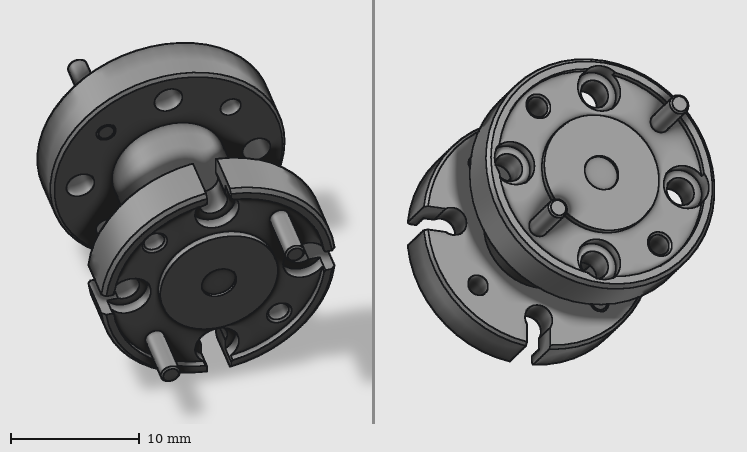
import cadquery as cq
import math

overall_length = 25.53
face_offset = 8.94
flange_thickness = 4.1
back_offset = face_offset - flange_thickness
pin_reach = overall_length / 2 - face_offset

flange_diameter = 19.05
front_chamfer = 0.3
back_chamfer = 0.25
barrel_diameter = 9.17

recess_diameter = 17.2
disc_diameter = 9.55
recess_depth = 0.55
recess_floor = face_offset - recess_depth
bore_diameter = 2.8
bore_depth = 0.25

pitch_radius = 7.15
screw_hole_diameter = 2.27
counterbore_diameter = 3.55
counterbore_depth = 1.55
slot_width = 1.95
pin_diameter = 1.55
pin_chamfer = 0.15
dowel_hole_diameter = 1.65
dowel_hole_chamfer = 0.18

screw_angles = (0, 90, 180, 270)
rising_diagonal = (45, 225)
falling_diagonal = (135, 315)


def x_cylinder(diameter, x_start, x_end):
    """Cylinder on the X axis between two X positions."""
    return cq.Workplane("YZ").workplane(offset=x_start).circle(diameter / 2).extrude(x_end - x_start)


def on_pitch_circle(shape, angle):
    """Move a shape from the X axis to the pitch circle; the angle runs from +Y towards +Z."""
    turn = math.radians(angle)
    return shape.translate((0, pitch_radius * math.cos(turn), pitch_radius * math.sin(turn)))


def flange_blank():
    """Chamfered flange whose mating face is at +X, with ring recess and centre bore."""
    blank = x_cylinder(flange_diameter, back_offset, face_offset)
    blank = blank.faces(">X").chamfer(front_chamfer).faces("<X").chamfer(back_chamfer)
    ring = x_cylinder(recess_diameter, recess_floor, face_offset).cut(
        x_cylinder(disc_diameter, recess_floor, face_offset)
    )
    return blank.cut(ring).cut(x_cylinder(bore_diameter, face_offset - bore_depth, face_offset))


def screw_hole():
    """Through hole counterbored from the mating face."""
    hole = x_cylinder(screw_hole_diameter, back_offset, face_offset)
    return hole.union(x_cylinder(counterbore_diameter, face_offset - counterbore_depth, face_offset))


def dowel_hole():
    """Through hole with a chamfered mouth at the recess floor."""
    hole = x_cylinder(dowel_hole_diameter, back_offset, recess_floor)
    hole_radius = dowel_hole_diameter / 2
    countersink = cq.Solid.makeCone(
        hole_radius + dowel_hole_chamfer,
        hole_radius,
        dowel_hole_chamfer,
        pnt=cq.Vector(recess_floor, 0, 0),
        dir=cq.Vector(-1, 0, 0),
    )
    return hole.union(cq.Workplane(countersink))


def dowel_pin():
    """Pin chamfered at both ends: one flush with the flange back, one beyond the mating face."""
    pin = x_cylinder(pin_diameter, back_offset, face_offset + pin_reach)
    return pin.faces("<X or >X").edges().chamfer(pin_chamfer)


def edge_slot(angle):
    """Slot running from a screw hole out through the flange rim."""
    slot = cq.Workplane("XY").box(
        flange_thickness, flange_diameter / 2 - pitch_radius, slot_width, centered=(False, False, True)
    )
    slot = slot.translate((back_offset, pitch_radius, 0))
    return slot.rotate((0, 0, 0), (1, 0, 0), angle)


def flange(hole_angles, pin_angles):
    """Complete flange at the +X end."""
    body = flange_blank()
    for angle in screw_angles:
        body = body.cut(on_pitch_circle(screw_hole(), angle))
    for angle in hole_angles:
        body = body.cut(on_pitch_circle(dowel_hole(), angle))
    pin_seat = x_cylinder(pin_diameter, back_offset, face_offset)
    for angle in pin_angles:
        body = body.cut(on_pitch_circle(pin_seat, angle))
        body = body.union(on_pitch_circle(dowel_pin(), angle))
    return body


slotted_flange = flange(hole_angles=falling_diagonal, pin_angles=rising_diagonal)
for angle in screw_angles:
    slotted_flange = slotted_flange.cut(edge_slot(angle))
plain_flange = flange(hole_angles=rising_diagonal, pin_angles=falling_diagonal).mirror("YZ")

barrel = x_cylinder(barrel_diameter, -back_offset, back_offset)

result = barrel.union(slotted_flange).union(plain_flange)